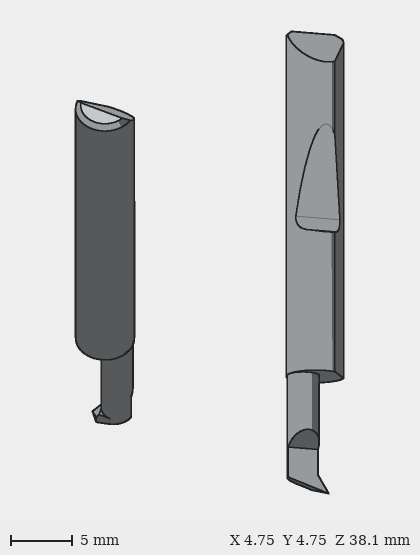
import cadquery as cq

total_length = 38.1
shank_diameter = 4.75
shank_radius = shank_diameter / 2
shank_bottom = 9.6
end_chamfer = 0.42

flat_distance = 2.0
flat_normal_angle = 143.0

bevel_start_y = -0.6

notch_top_z = 30.0
notch_floor = (1.05, 22.48)
notch_arc_middle = (1.37, 21.55)
notch_arc_end = (2.1, 21.2)
notch_bottom_z = 21.07

neck_radius = 1.3
neck_x = shank_radius - neck_radius
neck_relief_z = 3.6

tip_x = -1.15
tip_height = 1.55
tip_back_y = -neck_radius
tip_back_x = -0.15
end_edge_rise = 1.1
end_clearance = 0.17
flank_relief = 0.25

margin = 3.8


def extrude_along_x(outline):
    """Turn a closed Y-Z outline into a cutter running right through in X."""
    return outline.extrude(margin, both=True)


def cylinder(x, radius, bottom, top):
    return cq.Workplane("XY", origin=(x, 0, bottom)).circle(radius).extrude(top - bottom)


def make_shank():
    shank = cylinder(0, shank_radius, shank_bottom, total_length)
    shank = shank.faces(">Z").chamfer(end_chamfer)

    flat_cutter = (
        cq.Workplane("XY")
        .box(margin, 2 * margin, total_length, centered=(False, True, False))
        .translate((flat_distance, 0, 0))
        .rotate((0, 0, 0), (0, 0, 1), flat_normal_angle)
    )
    bevel_cutter = extrude_along_x(
        cq.Workplane("YZ")
        .moveTo(bevel_start_y, total_length)
        .lineTo(bevel_start_y + margin, total_length - margin)
        .lineTo(bevel_start_y + margin, total_length)
        .close()
    )
    notch_cutter = extrude_along_x(
        cq.Workplane("YZ")
        .moveTo(shank_radius, notch_top_z)
        .lineTo(*notch_floor)
        .threePointArc(notch_arc_middle, notch_arc_end)
        .lineTo(shank_radius, notch_bottom_z)
        .close()
    )
    return shank.cut(flat_cutter).cut(bevel_cutter).cut(notch_cutter)


def make_tip_block():
    """Block on the -X side of the neck, with a slanted flank above the point."""
    block = (
        cq.Workplane("XY")
        .polyline([(tip_x, 0), (tip_back_x, tip_back_y), (neck_x, tip_back_y), (neck_x, 0)])
        .close()
        .extrude(tip_height)
    )
    lean = flank_relief / neck_radius
    flank_run = (tip_back_x - tip_x) / tip_height

    def flank_outline(y):
        shift = -lean * y
        low = (tip_x + shift - flank_run * margin, -margin)
        high = (tip_x + shift + flank_run * margin, margin)
        return [low, high, (high[0] + margin, margin), (high[0] + margin, -margin)]

    front_y = -margin
    flank_side = (
        cq.Workplane("XZ", origin=(0, front_y, 0))
        .polyline(flank_outline(front_y))
        .close()
        .workplane(offset=front_y)
        .polyline(flank_outline(0))
        .close()
        .loft(ruled=True)
    )
    return block.intersect(flank_side)


def make_end_cutter():
    """Space below the end face, which rises towards +X and towards -Y."""
    slope_x = end_edge_rise / (shank_radius - tip_x)
    slope_y = end_clearance / tip_back_y
    normal = (slope_x, slope_y, -1)
    plane = cq.Plane(origin=(tip_x, 0, 0), xDir=(1, 0, slope_x), normal=normal)
    return cq.Workplane(plane).rect(4 * margin, 4 * margin).extrude(margin)


def make_neck():
    neck = cylinder(neck_x, neck_radius, 0, shank_bottom)
    relief_cutter = extrude_along_x(
        cq.Workplane("YZ")
        .moveTo(0, 0)
        .lineTo(0, neck_relief_z)
        .lineTo(margin, neck_relief_z + margin)
        .lineTo(margin, 0)
        .close()
    )
    return neck.cut(relief_cutter).union(make_tip_block()).cut(make_end_cutter())


result = make_shank().union(make_neck())